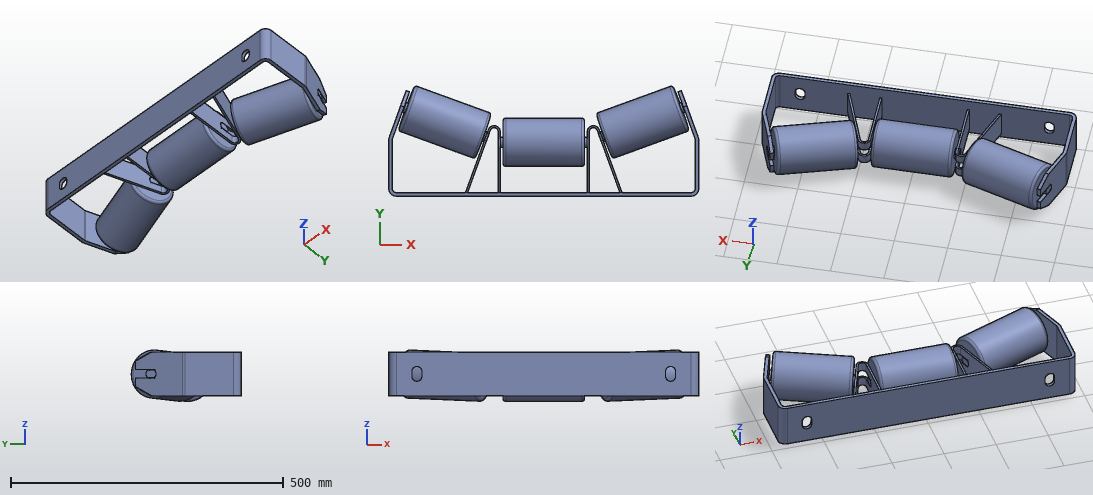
import cadquery as cq
import math

frame_length = 570.0
frame_height = 80.5
frame_thickness = 7.0
bend_radius = 14.0
arm_tip_y = 194.5
arm_chamfer_along = 29.5
arm_chamfer_height = 16.0
mount_hole_x = 233.0
mount_hole_width = 18.0
mount_hole_height = 27.5

roller_diameter = 89.0
roller_length = 150.0
roller_edge_radius = 5.0
axle_diameter = 19.5
axle_flat_height = 13.5
slot_height = 15.5
slot_end_diameter = 20.0
support_half_gap = 80.0
shoulder_clearance = 0.5
middle_roller_y = 99.0
trough_angle = 20.0
tilt_angle = 2.3
end_axis_drop = 14.0

support_thickness = 4.0
support_height = 50.0
crest_radius = 11.5
crest_y = 118.5

trough = math.radians(trough_angle)
tilt = math.radians(tilt_angle)
sin_trough = math.sin(trough)
cos_trough = math.cos(trough)
half_length = frame_length / 2
crest_x = support_half_gap + crest_radius

axis_reach = crest_radius + support_half_gap
end_roller_x = crest_x + axis_reach * cos_trough + end_axis_drop * sin_trough
end_roller_y = crest_y + axis_reach * sin_trough - end_axis_drop * cos_trough
axle_rise = support_half_gap * math.sin(tilt)
middle_roller_z = -2 * axle_rise
end_roller_z = -axle_rise

arm_face_reach = support_half_gap + frame_thickness
arm_bend_y = end_roller_y - ((half_length - end_roller_x) * cos_trough - arm_face_reach) / sin_trough
arm_length = (arm_tip_y - arm_bend_y) / cos_trough
inner_bend_radius = bend_radius - frame_thickness
inner_side_x = half_length - frame_thickness
inner_bend_y = arm_bend_y - frame_thickness * math.tan(trough / 2)
arm_tip_reach = (
    arm_length
    + (arm_bend_y - end_roller_y) * cos_trough
    - (half_length - end_roller_x) * sin_trough
)


def extrude_mid(profile, height):
    """Extrude a profile in the XY plane evenly about Z = 0."""
    return profile.extrude(height / 2, both=True)


def mirrored(body):
    """The copy of a body on the other side of X = 0."""
    return body.mirror("YZ")


def place_end(body):
    """Move a body to the right end roller: X outwards along its level axis direction, Z up."""
    plane = cq.Plane(
        origin=(end_roller_x, end_roller_y, 0),
        xDir=(cos_trough, sin_trough, 0),
        normal=(0, 0, 1),
    )
    return cq.Workplane(body.val().moved(cq.Location(plane)))


def axle_slot(length, depth, z):
    """Slot cutter beside a roller centred on the origin: open towards +Y, round below the axle."""
    start = cq.Workplane("YZ", origin=(support_half_gap, 0, z))
    round_end = start.circle(slot_end_diameter / 2).extrude(depth)
    band = start.rect(slot_end_diameter, slot_height).extrude(depth)
    opening = start.center(length / 2, 0).rect(length, slot_height).extrude(depth)
    return round_end.intersect(band).union(opening)


def frame_profile():
    """Right half of the frame with sharp bends."""
    tip = (half_length - arm_length * sin_trough, arm_tip_y)
    inner_tip = (tip[0] - frame_thickness * cos_trough, tip[1] - frame_thickness * sin_trough)
    outline = [
        (0, 0),
        (half_length, 0),
        (half_length, arm_bend_y),
        tip,
        inner_tip,
        (inner_side_x, inner_bend_y),
        (inner_side_x, frame_thickness),
        (0, frame_thickness),
    ]
    return cq.Workplane("XY").polyline(outline).close()


def edge_at(x, y):
    """Selector for the upright edge through (x, y)."""
    size = 0.05
    return cq.selectors.BoxSelector((x - size, y - size, -size), (x + size, y + size, size))


def make_frame():
    half = extrude_mid(frame_profile(), frame_height)
    half = half.edges(edge_at(half_length, 0)).fillet(bend_radius)
    half = half.edges(edge_at(inner_side_x, frame_thickness)).fillet(inner_bend_radius)
    half = half.edges(edge_at(half_length, arm_bend_y)).fillet(bend_radius)
    half = half.edges(edge_at(inner_side_x, inner_bend_y)).fillet(inner_bend_radius)

    slot = axle_slot(arm_length, frame_thickness, 0)
    half = half.cut(place_end(slot))
    half = half.cut(place_end(arm_corner_cutter()))
    half = half.cut(mount_hole())
    return half.union(mirrored(half))


def arm_corner_cutter():
    """Triangles that bevel both corners of the arm tip, in the local frame of the end roller."""
    top = frame_height / 2
    bevel = (
        cq.Workplane("YZ", origin=(support_half_gap, 0, 0))
        .moveTo(arm_tip_reach, top)
        .lineTo(arm_tip_reach - arm_chamfer_along, top)
        .lineTo(arm_tip_reach, top - arm_chamfer_height)
        .close()
        .extrude(frame_thickness)
    )
    return bevel.union(bevel.mirror("XY"))


def mount_hole():
    """Upright slotted hole through the back."""
    return (
        cq.Workplane("XZ")
        .center(mount_hole_x, 0)
        .slot2D(mount_hole_height, mount_hole_width, 90)
        .extrude(-frame_thickness)
    )


def make_support():
    """Right support: a vertical inner leg, a round crest and an inclined outer leg."""
    inner_radius = crest_radius - support_thickness

    def crest_point(radius, angle):
        return (crest_x + radius * math.cos(angle), crest_y + radius * math.sin(angle))

    def foot(radius):
        x, y = crest_point(radius, trough)
        return (x + (y - frame_thickness) * math.tan(trough), frame_thickness)

    middle = (trough + math.pi) / 2
    profile = (
        cq.Workplane("XY")
        .moveTo(crest_x - crest_radius, frame_thickness)
        .lineTo(*crest_point(crest_radius, math.pi))
        .threePointArc(crest_point(crest_radius, middle), crest_point(crest_radius, trough))
        .lineTo(*foot(crest_radius))
        .lineTo(*foot(inner_radius))
        .lineTo(*crest_point(inner_radius, trough))
        .threePointArc(crest_point(inner_radius, middle), crest_point(inner_radius, math.pi))
        .lineTo(crest_x - inner_radius, frame_thickness)
        .close()
    )
    support = extrude_mid(profile, support_height).translate((0, 0, middle_roller_z))

    slot = axle_slot(crest_y, crest_radius, middle_roller_z)
    middle_slot = slot.translate((0, middle_roller_y, 0))
    end_slot = place_end(mirrored(slot))
    return support.cut(middle_slot).cut(end_slot)


def make_roller(left_plate, right_plate):
    """Roller along X about the origin, with flatted axle ends as long as the plates are thick."""
    barrel = (
        cq.Workplane("YZ", origin=(-roller_length / 2, 0, 0))
        .circle(roller_diameter / 2)
        .extrude(roller_length)
        .edges()
        .fillet(roller_edge_radius)
    )
    shoulder = support_half_gap - shoulder_clearance
    left = support_half_gap + left_plate
    right = support_half_gap + right_plate
    flats = cq.Workplane("XY").box(2 * max(left, right), axle_diameter, axle_flat_height)
    axle_ends = axle_bar(left, right).intersect(flats)
    return barrel.union(axle_bar(shoulder, shoulder)).union(axle_ends)


def axle_bar(left, right):
    return cq.Workplane("YZ", origin=(-left, 0, 0)).circle(axle_diameter / 2).extrude(left + right)


def make_middle_roller():
    roller = make_roller(support_thickness, support_thickness)
    return roller.translate((0, middle_roller_y, middle_roller_z))


def make_end_roller():
    """Right end roller, tilted up towards its arm."""
    roller = make_roller(support_thickness, frame_thickness)
    roller = roller.rotate((0, 0, 0), (0, 1, 0), -tilt_angle)
    return place_end(roller.translate((0, 0, end_roller_z)))


frame = make_frame()
middle_roller = make_middle_roller()
support = make_support()
end_roller = make_end_roller()

bodies = [frame, middle_roller]
for body in (support, end_roller):
    bodies += [body, mirrored(body)]

result = cq.Compound.makeCompound([body.val() for body in bodies])